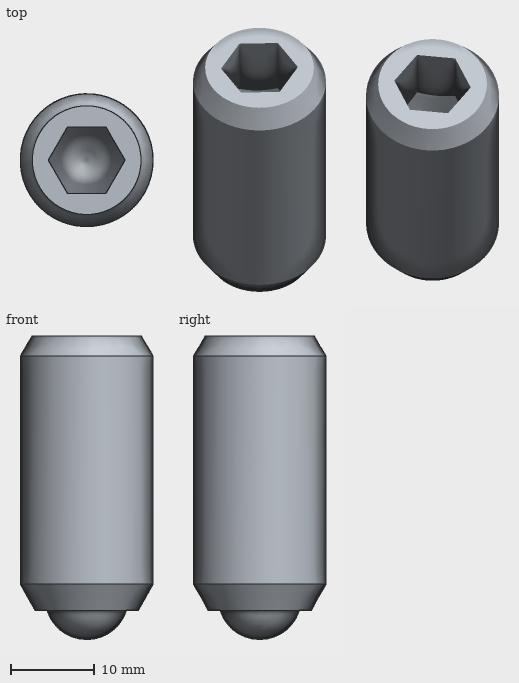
import cadquery as cq
import math

total_length = 36.5
body_radius = 8.0

ball_radius = 5.0
ball_protrusion = 3.5

top_face_radius = 6.55
top_taper_height = 2.45
bottom_face_radius = 6.2
bottom_taper_height = 3.18

socket_across_flats = 8.0
socket_depth = 8.0
socket_floor_angle = 120.0

top_z = total_length / 2
ball_tip_z = -total_length / 2
bottom_z = ball_tip_z + ball_protrusion
ball_center_z = ball_tip_z + ball_radius
socket_corner_radius = socket_across_flats / math.sqrt(3)
socket_cone_depth = socket_corner_radius / math.tan(math.radians(socket_floor_angle / 2))


def make_ball():
    return cq.Workplane("XY").sphere(ball_radius).translate((0, 0, ball_center_z))


def make_socket():
    """Hexagonal prism trimmed below by a cone that starts at the hexagon's corners."""
    floor_z = top_z - socket_depth
    tip_z = floor_z - socket_cone_depth
    prism = (
        cq.Workplane("XY")
        .workplane(offset=tip_z)
        .polygon(6, 2 * socket_corner_radius)
        .extrude(top_z - tip_z)
    )
    envelope_edge_z = tip_z + socket_cone_depth * body_radius / socket_corner_radius
    envelope = (
        cq.Workplane("XZ")
        .moveTo(0, tip_z)
        .lineTo(body_radius, envelope_edge_z)
        .lineTo(body_radius, top_z)
        .lineTo(0, top_z)
        .close()
        .revolve(360, (0, 0, 0), (0, 1, 0))
    )
    return prism.intersect(envelope)


def make_body():
    blank = (
        cq.Workplane("XZ")
        .moveTo(0, bottom_z)
        .lineTo(bottom_face_radius, bottom_z)
        .lineTo(body_radius, bottom_z + bottom_taper_height)
        .lineTo(body_radius, top_z - top_taper_height)
        .lineTo(top_face_radius, top_z)
        .lineTo(0, top_z)
        .close()
        .revolve(360, (0, 0, 0), (0, 1, 0))
    )
    return blank.cut(make_socket()).cut(make_ball()).solids()


body = make_body()
ball = make_ball()

result = cq.Compound.makeCompound([body.val(), ball.val()])